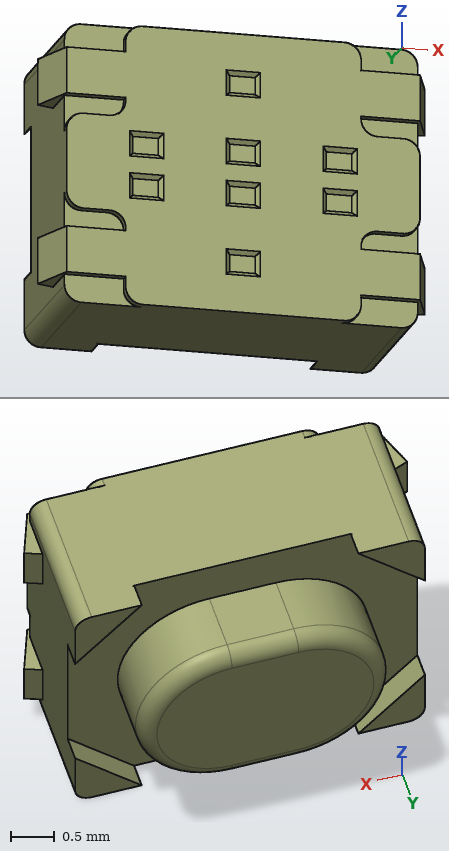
import cadquery as cq
import math


LEADS_SPAN = 4.6
HOUSING_WIDTH = 4.2
HOUSING_HEIGHT = 3.35
HOUSING_DEPTH = 1.9
CORNER_RADIUS = 0.2

POST_HEIGHT = 0.3
POST_LEG = 0.8

TOTAL_DEPTH = 2.5
BUTTON_LENGTH = 3.0
BUTTON_WIDTH = 2.2
BUTTON_ROUNDING = 0.2

LEAD_WIDTH = 0.55
LEAD_CENTER_Z = 1.075
LEAD_TIP_Y = 0.54

RECESS_DEPTH = 0.1
RECESS_INNER_X = 1.4
RECESS_LOWER_Z = 0.57

POCKET_LENGTH = 0.405
POCKET_HEIGHT = 0.305
POCKET_WALL_INSET = 0.05
POCKET_DEPTH = 0.05
POCKET_COLUMN_X = 1.15
POCKET_ROW_Z = 0.255

HALF_WIDTH = HOUSING_WIDTH / 2
HALF_HEIGHT = HOUSING_HEIGHT / 2
FLOOR_Y = HOUSING_DEPTH - POST_HEIGHT
LEAD_INNER_Z = LEAD_CENTER_Z - LEAD_WIDTH / 2
LEAD_OUTER_Z = LEAD_CENTER_Z + LEAD_WIDTH / 2


def plane_at(y):
    """Plane facing +Y at depth y, with local x along -X and local y along +Z."""
    return cq.Workplane(cq.Plane(origin=(0, y, 0), xDir=(-1, 0, 0), normal=(0, 1, 0)))


def mirrored_four_ways(shape):
    """Copies of a +X, +Z corner shape in all four corners."""
    pair = shape.union(shape.mirror("YZ"))
    return pair.union(pair.mirror("XY"))


def make_housing():
    block = plane_at(0).rect(HOUSING_WIDTH, HOUSING_HEIGHT).extrude(HOUSING_DEPTH)
    block = block.edges("|Y").fillet(CORNER_RADIUS)
    floor_cut = plane_at(FLOOR_Y).rect(HOUSING_WIDTH, HOUSING_HEIGHT).extrude(POST_HEIGHT)
    floor_cut = floor_cut.edges("|Y").chamfer(POST_LEG)
    return block.cut(floor_cut)


def make_button():
    button = plane_at(FLOOR_Y).slot2D(BUTTON_LENGTH, BUTTON_WIDTH).extrude(TOTAL_DEPTH - FLOOR_Y)
    return button.faces(">Y").edges().fillet(BUTTON_ROUNDING)


def make_lead():
    """Lead in the +X, +Z corner; its end face is square to its sloping outer face."""
    reach = LEADS_SPAN / 2 - HALF_WIDTH
    end_rise = reach * reach / LEAD_TIP_Y
    profile = [
        (HALF_WIDTH, 0),
        (HALF_WIDTH + reach, LEAD_TIP_Y),
        (HALF_WIDTH, LEAD_TIP_Y + end_rise),
        (HALF_WIDTH - reach, LEAD_TIP_Y + end_rise),
        (HALF_WIDTH - reach, 0),
    ]
    sketch = cq.Workplane("XY").workplane(offset=LEAD_INNER_Z)
    return sketch.polyline(profile).close().extrude(LEAD_WIDTH)


def make_recesses():
    """Recesses on both sides of the lead in the +X, +Z corner."""
    radius = CORNER_RADIUS
    diagonal = radius * math.sqrt(0.5)
    sketch = cq.Workplane("XZ")

    round_center_x = RECESS_INNER_X - radius
    round_center_z = HALF_HEIGHT - radius
    corner_recess = (
        sketch.moveTo(RECESS_INNER_X, LEAD_OUTER_Z)
        .lineTo(HALF_WIDTH, LEAD_OUTER_Z)
        .lineTo(HALF_WIDTH, HALF_HEIGHT)
        .lineTo(round_center_x, HALF_HEIGHT)
        .threePointArc(
            (round_center_x + diagonal, round_center_z + diagonal),
            (RECESS_INNER_X, round_center_z),
        )
        .close()
        .extrude(-RECESS_DEPTH)
    )

    inner_center_x = RECESS_INNER_X + radius
    inner_center_z = RECESS_LOWER_Z + radius
    outer_center_x = HALF_WIDTH - radius
    outer_center_z = RECESS_LOWER_Z - radius
    side_recess = (
        sketch.moveTo(HALF_WIDTH, LEAD_INNER_Z)
        .lineTo(RECESS_INNER_X, LEAD_INNER_Z)
        .lineTo(RECESS_INNER_X, inner_center_z)
        .threePointArc(
            (inner_center_x - diagonal, inner_center_z - diagonal),
            (inner_center_x, RECESS_LOWER_Z),
        )
        .lineTo(outer_center_x, RECESS_LOWER_Z)
        .threePointArc(
            (outer_center_x + diagonal, outer_center_z + diagonal),
            (HALF_WIDTH, outer_center_z),
        )
        .close()
        .extrude(-RECESS_DEPTH)
    )
    return corner_recess.union(side_recess)


def make_pocket(x, z):
    """Rectangular pocket whose four walls taper inwards by the same amount."""
    floor_length = POCKET_LENGTH - 2 * POCKET_WALL_INSET
    floor_height = POCKET_HEIGHT - 2 * POCKET_WALL_INSET
    return (
        cq.Workplane("XZ", origin=(x, 0, z))
        .rect(POCKET_LENGTH, POCKET_HEIGHT)
        .workplane(offset=-POCKET_DEPTH)
        .rect(floor_length, floor_height)
        .loft(ruled=True)
    )


housing = make_housing().cut(mirrored_four_ways(make_recesses()))
result = housing.union(make_button()).union(mirrored_four_ways(make_lead()))

pocket_places = [
    (x, z)
    for x in (-POCKET_COLUMN_X, 0, POCKET_COLUMN_X)
    for z in (-POCKET_ROW_Z, POCKET_ROW_Z)
]
pocket_places += [(0, -LEAD_CENTER_Z), (0, LEAD_CENTER_Z)]
for pocket_x, pocket_z in pocket_places:
    result = result.cut(make_pocket(pocket_x, pocket_z))